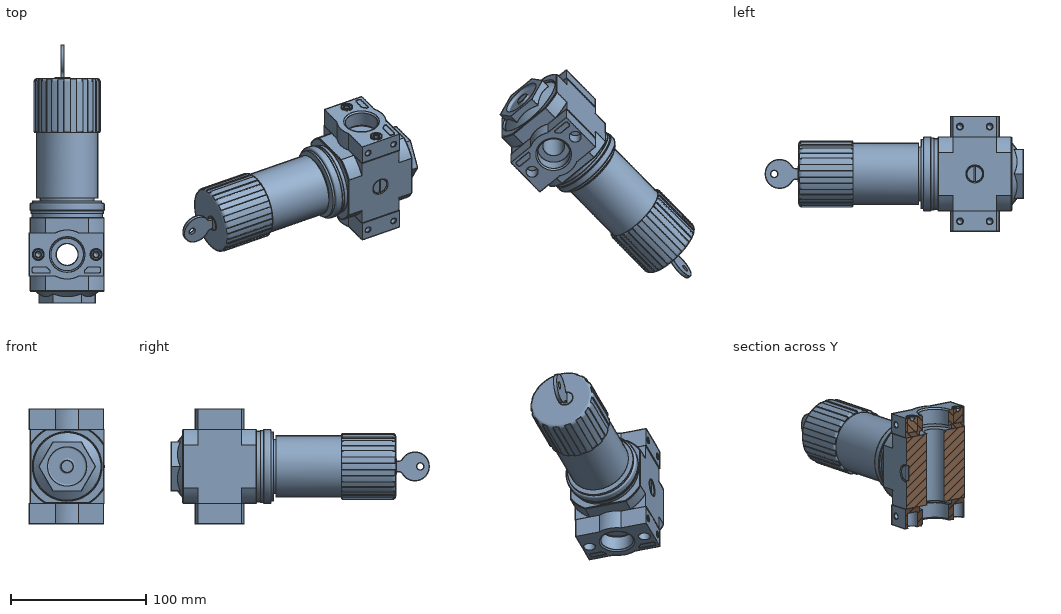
import cadquery as cq
import math

HOUSING_SIZE = 54.8
HOUSING_HALF = HOUSING_SIZE / 2
HOUSING_CORNER_RADIUS = 31.7
HOUSING_EDGE_CHAMFER = 0.5
MID_LENGTH = 32.0
COLLAR_RADIUS = 26.2
COLLAR_TOP_Y = 30.4
RIM_RADIUS = 26.7
RIM_TOP_Y = 32.3
FLOW_HOLE_DIAMETER = 16.0
CAP_SEAT_RADIUS = 25.8
CAP_SEAT_DEPTH = 2.0

PLUG_RIM_DIAMETER = 13.2
PLUG_DIAMETER = 11.5
PLUG_RECESS_DEPTH = 0.5
PLUG_SLOT_WIDTH = 1.1
PLUG_SLOT_DEPTH = 2.0

OVERALL_HEIGHT = 85.0
PLATE_THICKNESS = OVERALL_HEIGHT / 2 - HOUSING_HALF
PLATE_MIN_X = -28.0
PLATE_MAX_X = 27.0
PLATE_BULGE_RADIUS = 18.1
PORT_DIAMETER = 24.0
PORT_RIM_DIAMETER = 26.4
PORT_DEPTH = 12.2
PORT_UNDERCUT_DIAMETER = 29.6
SIDE_HOLE_DIAMETER = 4.2
SIDE_HOLE_RIM_DIAMETER = 5.0
SIDE_HOLE_DEPTH = 5.7
SIDE_HOLE_Y = 10.98
SIDE_HOLE_HEIGHT = 7.6
LABEL_LEFT_OUTER_X = 26.0
LABEL_RIGHT_OUTER_X = 24.8
LABEL_INNER_X = 12.8
LABEL_MIN_Y = -13.5
LABEL_HEIGHT = 4.2
LABEL_SLANT = 2.5
LABEL_CORNER_RADIUS = 1.1
LABEL_DEPTH = 0.4

SCREW_X = 21.4
SCREW_DIAMETER = 8.8
SCREW_CHAMFER = 0.8
SCREW_LENGTH = 11.5
SOCKET_DIAMETER = 4.2
SOCKET_RIM_DIAMETER = 5.0
SOCKET_DEPTH = 1.5

CAP_FACE_Y = -36.0
CAP_RADIUS = 25.0
CAP_CONE_START_Y = -26.0
CAP_CONE_END_Y = -31.7
CAP_CONE_END_RADIUS = 17.5
HEX_ACROSS_FLATS = 36.3
CAP_RECESS_DIAMETER = 29.0
CAP_RECESS_DEPTH = 2.9
CAP_RECESS_ROUND = 1.3
PIN_DIAMETER = 9.2
PIN_HEIGHT = 2.1
PIN_BASE_ROUND = 1.5
PIN_TIP_CHAMFER = 0.2

RING_RADIUS = 27.5
RING_TOP_Y = 38.0
RING_ROUND_RADIUS = 1.3
RING_CHAMFER = 0.5

NECK_RADIUS = 20.0
FLANGE_RADIUS = 25.5
FLANGE_TOP_Y = 39.7
SLEEVE_RADIUS = 22.7
SLEEVE_START_Y = 41.6

KNOB_RADIUS = 24.55
KNOB_START_Y = 90.2
KNOB_END_Y = 130.3
KNOB_TOP_ROUND = 2.7
KNOB_BOTTOM_ROUND = 1.3
GROOVE_COUNT = 16
GROOVE_WIDTH = 4.5
GROOVE_FLOOR_RADIUS = 23.5
LOCK_DIAMETER = 11.3
LOCK_X = -3.5
LOCK_PROTRUSION = 0.5

KEY_TIP_Y = 155.0
KEY_HEAD_RADIUS = 10.7
KEY_HEAD_Y = KEY_TIP_Y - KEY_HEAD_RADIUS
KEY_NECK_WIDTH = 8.0
KEY_NECK_ROUND = 2.9
KEY_THICKNESS = 2.5
KEY_HOLE_DIAMETER = 5.2
KEY_HOLE_Y = 148.5


def along_y(radius, start_y, end_y):
    """Cylinder on the main axis from start_y up to end_y."""
    base = cq.Workplane("XZ", origin=(0, start_y, 0))
    return base.circle(radius).extrude(start_y - end_y)


def rimmed_hole(diameter, rim_diameter, depth, point, direction):
    """Blind drilled hole with a 45 degree rim, a straight wall and a 90 degree conical bottom."""
    radius = diameter / 2
    rim_radius = rim_diameter / 2
    profile = [
        (0, 0),
        (rim_radius, 0),
        (radius, rim_radius - radius),
        (radius, depth),
        (0, depth + radius),
    ]
    plane = cq.Plane(origin=point, xDir=(0, 1, 0), normal=direction)
    drill = cq.Workplane("XZ").polyline([(r, -d) for r, d in profile]).close()
    drill = drill.revolve(360, (0, 0, 0), (0, 1, 0))
    return cq.Workplane(obj=drill.val().moved(cq.Location(plane)))


def make_housing():
    """Block with rounded long edges, a square middle, a collar and a seat for the cap."""
    block = cq.Workplane("XY").box(HOUSING_SIZE, HOUSING_SIZE, HOUSING_SIZE)
    rounded = block.intersect(along_y(HOUSING_CORNER_RADIUS, -HOUSING_HALF, HOUSING_HALF))
    rounded = rounded.faces("<Y or >Y").chamfer(HOUSING_EDGE_CHAMFER)
    middle = cq.Workplane("XY").box(HOUSING_SIZE, MID_LENGTH, HOUSING_SIZE)
    housing = rounded.union(middle)
    housing = housing.union(along_y(COLLAR_RADIUS, 0, COLLAR_TOP_Y))
    housing = housing.union(along_y(RIM_RADIUS, COLLAR_TOP_Y, RIM_TOP_Y))
    housing = housing.cut(along_y(CAP_SEAT_RADIUS, -HOUSING_HALF, CAP_SEAT_DEPTH - HOUSING_HALF))
    flow_hole = cq.Workplane("XY").circle(FLOW_HOLE_DIAMETER / 2).extrude(HOUSING_HALF, both=True)
    return cut_plug_face(housing.cut(flow_hole))


def cut_plug_face(housing):
    """Tapered round recess with a slot across its floor, on the -X side."""
    face = cq.Workplane("YZ", origin=(-HOUSING_HALF, 0, 0))
    recess = face.circle(PLUG_RIM_DIAMETER / 2).workplane(offset=PLUG_RECESS_DEPTH)
    recess = recess.circle(PLUG_DIAMETER / 2).loft()
    slot = face.rect(PLUG_SLOT_WIDTH, PLUG_DIAMETER).extrude(PLUG_RECESS_DEPTH + PLUG_SLOT_DEPTH)
    return housing.cut(recess).cut(slot)


def make_label(side, outer_x):
    """Shallow pocket beside the port, slanted at its inner top corner; side is -1 or 1 along X."""
    top_y = LABEL_MIN_Y + LABEL_HEIGHT
    outline = [
        (outer_x, LABEL_MIN_Y),
        (outer_x, top_y),
        (LABEL_INNER_X + LABEL_SLANT, top_y),
        (LABEL_INNER_X, top_y - LABEL_SLANT),
        (LABEL_INNER_X, LABEL_MIN_Y),
    ]
    floor = cq.Workplane("XY", origin=(0, 0, OVERALL_HEIGHT / 2 - LABEL_DEPTH))
    label = floor.polyline([(side * x, y) for x, y in outline]).close().extrude(LABEL_DEPTH)
    outer_edges = "|Z and <X" if side < 0 else "|Z and >X"
    return label.edges(outer_edges).fillet(LABEL_CORNER_RADIUS)


def make_top_plate():
    """Connecting plate with an undercut port, two screw seats, side holes and two label pockets."""
    top_z = OVERALL_HEIGHT / 2
    base = cq.Workplane("XY", origin=(0, 0, HOUSING_HALF))
    width = PLATE_MAX_X - PLATE_MIN_X
    center_x = (PLATE_MAX_X + PLATE_MIN_X) / 2
    plate = base.center(center_x, 0).rect(width, MID_LENGTH).extrude(PLATE_THICKNESS)
    plate = plate.union(base.circle(PLATE_BULGE_RADIUS).extrude(PLATE_THICKNESS))
    plate = plate.cut(base.circle(PORT_DIAMETER / 2).extrude(PLATE_THICKNESS))
    plate = plate.cut(base.circle(PORT_UNDERCUT_DIAMETER / 2).extrude(PLATE_THICKNESS - PORT_DEPTH))
    port_chamfer = (PORT_RIM_DIAMETER - PORT_DIAMETER) / 2
    port_rim = cq.Solid.makeCone(
        PORT_DIAMETER / 2, PORT_RIM_DIAMETER / 2, port_chamfer, cq.Vector(0, 0, top_z - port_chamfer)
    )
    plate = plate.cut(cq.Workplane(obj=port_rim))
    for side, label_outer_x in ((-1, LABEL_LEFT_OUTER_X), (1, LABEL_RIGHT_OUTER_X)):
        side_hole = rimmed_hole(
            SIDE_HOLE_DIAMETER,
            SIDE_HOLE_RIM_DIAMETER,
            SIDE_HOLE_DEPTH,
            (PLATE_MIN_X, side * SIDE_HOLE_Y, HOUSING_HALF + SIDE_HOLE_HEIGHT),
            (-1, 0, 0),
        )
        plate = plate.cut(screw_blank(side)).cut(side_hole).cut(make_label(side, label_outer_x))
    return plate


def screw_blank(side):
    """Plain cylinder of a screw and of its seat in the plate; side is -1 or 1 along X."""
    base = cq.Workplane("XY", origin=(side * SCREW_X, 0, OVERALL_HEIGHT / 2 - SCREW_LENGTH))
    return base.circle(SCREW_DIAMETER / 2).extrude(SCREW_LENGTH)


def make_screw(side):
    """Chamfered plate screw, flush with the plate, with a drilled socket."""
    screw = screw_blank(side).faces(">Z").chamfer(SCREW_CHAMFER)
    socket = rimmed_hole(
        SOCKET_DIAMETER,
        SOCKET_RIM_DIAMETER,
        SOCKET_DEPTH,
        (side * SCREW_X, 0, OVERALL_HEIGHT / 2),
        (0, 0, 1),
    )
    return screw.cut(socket)


def make_cap():
    """Conical cap with a hexagon, a round recess in the hexagon and a flared pin in the recess."""
    seat_y = CAP_SEAT_DEPTH - HOUSING_HALF
    profile = [
        (0, seat_y),
        (CAP_RADIUS, seat_y),
        (CAP_RADIUS, CAP_CONE_START_Y),
        (CAP_CONE_END_RADIUS, CAP_CONE_END_Y),
        (0, CAP_CONE_END_Y),
    ]
    cap = cq.Workplane("XY").polyline(profile).close().revolve(360, (0, 0, 0), (0, 1, 0))
    hexagon_diameter = HEX_ACROSS_FLATS / math.cos(math.radians(30))
    hexagon = cq.Workplane("XZ", origin=(0, seat_y, 0)).polygon(6, hexagon_diameter)
    cap = cap.union(hexagon.extrude(seat_y - CAP_FACE_Y))
    floor_y = CAP_FACE_Y + CAP_RECESS_DEPTH
    recess = along_y(CAP_RECESS_DIAMETER / 2, CAP_FACE_Y, floor_y)
    recess = recess.faces(">Y").edges().fillet(CAP_RECESS_ROUND)
    return cap.cut(recess).union(make_cap_pin(floor_y))


def make_cap_pin(floor_y):
    """Short round pin with a concave flare at its foot and a chamfered tip."""
    radius = PIN_DIAMETER / 2
    tip_y = floor_y - PIN_HEIGHT
    flare_y = floor_y - PIN_BASE_ROUND
    flare_radius = radius + PIN_BASE_ROUND
    arc_inset = PIN_BASE_ROUND * math.sqrt(0.5)
    pin = cq.Workplane("XY").moveTo(0, floor_y).lineTo(flare_radius, floor_y)
    pin = pin.threePointArc((flare_radius - arc_inset, flare_y + arc_inset), (radius, flare_y))
    pin = pin.lineTo(radius, tip_y + PIN_TIP_CHAMFER)
    pin = pin.lineTo(radius - PIN_TIP_CHAMFER, tip_y)
    return pin.lineTo(0, tip_y).close().revolve(360, (0, 0, 0), (0, 1, 0))


def make_ring_nut():
    """Ring between the housing and the bonnet flange."""
    ring = along_y(RING_RADIUS, RIM_TOP_Y, RING_TOP_Y)
    ring = ring.faces(">Y").edges().fillet(RING_ROUND_RADIUS)
    ring = ring.faces("<Y").edges().chamfer(RING_CHAMFER)
    return ring.cut(along_y(NECK_RADIUS, RIM_TOP_Y, RING_TOP_Y))


def make_bonnet():
    """Sleeve with a neck that passes through the ring nut, and a flange that rests on it."""
    bonnet = along_y(NECK_RADIUS, RIM_TOP_Y, SLEEVE_START_Y)
    bonnet = bonnet.union(along_y(FLANGE_RADIUS, RING_TOP_Y, FLANGE_TOP_Y))
    return bonnet.union(along_y(SLEEVE_RADIUS, SLEEVE_START_Y, KNOB_START_Y))


def make_knob():
    """Grooved knob with an off-centre round lock on its end."""
    knob = along_y(KNOB_RADIUS, KNOB_START_Y, KNOB_END_Y)
    knob = knob.faces(">Y").edges().fillet(KNOB_TOP_ROUND)
    knob = knob.faces("<Y").edges().fillet(KNOB_BOTTOM_ROUND)
    pitch = 360 / GROOVE_COUNT
    length = KNOB_END_Y - KNOB_START_Y
    groove = cq.Workplane("XY").box(GROOVE_WIDTH, length, GROOVE_WIDTH, centered=(True, False, False))
    groove = groove.translate((0, KNOB_START_Y, GROOVE_FLOOR_RADIUS))
    for index in range(GROOVE_COUNT):
        angle = (index + 0.5) * pitch
        knob = knob.cut(groove.rotate((0, 0, 0), (0, 1, 0), angle))
    lock = along_y(LOCK_DIAMETER / 2, KNOB_END_Y, KNOB_END_Y + LOCK_PROTRUSION)
    return knob.union(lock.translate((LOCK_X, 0, 0)))


def make_key():
    """Flat key with a round head and a hole, standing on the lock."""
    start_y = KNOB_END_Y + LOCK_PROTRUSION
    plane = cq.Workplane("YZ", origin=(LOCK_X - KEY_THICKNESS / 2, 0, 0))
    head = plane.center(KEY_HEAD_Y, 0).circle(KEY_HEAD_RADIUS).extrude(KEY_THICKNESS)
    neck_length = KEY_HEAD_Y - start_y
    neck = plane.center(start_y + neck_length / 2, 0).rect(neck_length, KEY_NECK_WIDTH)
    key = head.union(neck.extrude(KEY_THICKNESS))
    neck_to_head = cq.selectors.BoxSelector(
        (LOCK_X - KEY_THICKNESS, start_y + neck_length / 10, -KEY_NECK_WIDTH),
        (LOCK_X + KEY_THICKNESS, KEY_HEAD_Y, KEY_NECK_WIDTH),
    )
    key = key.edges("|X").edges(neck_to_head).fillet(KEY_NECK_ROUND)
    hole = plane.center(KEY_HOLE_Y, 0).circle(KEY_HOLE_DIAMETER / 2).extrude(KEY_THICKNESS)
    return key.cut(hole)


housing = make_housing()
top_plate = make_top_plate()
bottom_plate = top_plate.mirror("XY")
screws = [make_screw(side).val() for side in (-1, 1)]
cap = make_cap()
ring_nut = make_ring_nut()
bonnet = make_bonnet()
knob = make_knob()
key = make_key()

result = cq.Compound.makeCompound(
    [
        housing.val(),
        top_plate.val(),
        bottom_plate.val(),
        *screws,
        cap.val(),
        ring_nut.val(),
        bonnet.val(),
        knob.val(),
        key.val(),
    ]
)